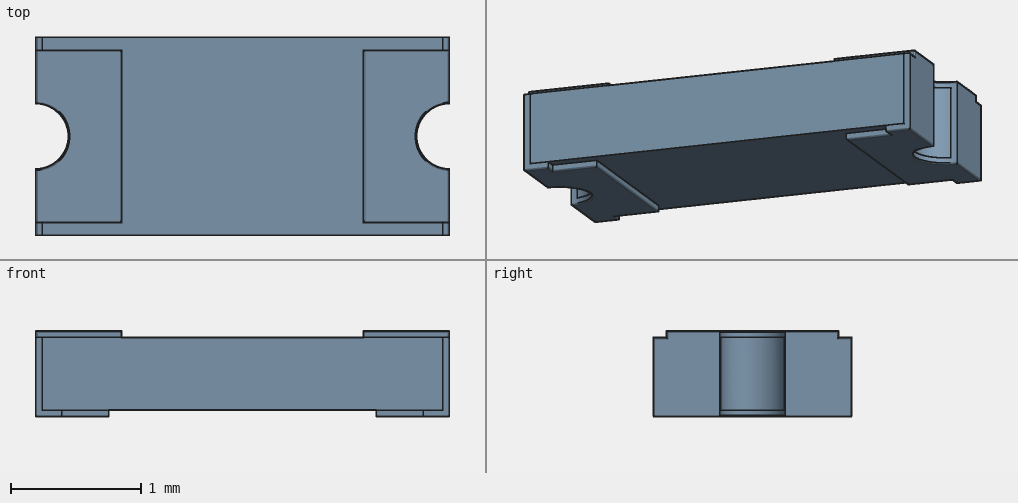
import cadquery as cq

length = 3.17
width = 1.52
height = 0.66

plating = 0.05
pad_inset = 0.098
top_pad_length = 0.66
bottom_pad_length = 0.56
bottom_flange_length = 0.2
edge_round = 0.01

groove_radius = 0.25

body_length = length - 2 * plating
body_height = height - 2 * plating
body_top = height - plating
pad_width = width - 2 * pad_inset
left_end = -length / 2
right_end = length / 2


def block(size_x, size_y, size_z, min_x, min_z):
    """Box centred on Y, starting at the given X and Z."""
    return (
        cq.Workplane("XY")
        .box(size_x, size_y, size_z, centered=(False, True, False))
        .translate((min_x, 0, min_z))
    )


def groove(center_x):
    """Vertical cylinder that cuts the half-round groove of one end."""
    return cq.Workplane("XY").center(center_x, 0).circle(groove_radius).extrude(height)


def make_body():
    """Plain block between the terminals, with a groove in each end."""
    body = block(body_length, width, body_height, -body_length / 2, plating)
    return body.cut(groove(left_end)).cut(groove(right_end))


def round_terminal_edges(terminal):
    """Round the rims of the top and bottom faces and the stepped upper outline of the end face."""
    rim_edges = terminal.faces("<Z or >Z").edges()
    upper_end = cq.selectors.BoxSelector(
        (left_end - plating, -width, body_top - plating / 2),
        (left_end + plating, width, height - plating / 4),
    )
    step_edges = terminal.faces("<X").edges(upper_end)
    return terminal.newObject(rim_edges.vals() + step_edges.vals()).fillet(edge_round)


def make_terminal(turn):
    """End wall with an inset pad on top and a stepped pad underneath, turned about Z from the left end."""
    end_wall = block(plating, width, body_top, left_end, 0)
    top_pad = block(top_pad_length, pad_width, plating, left_end, body_top)
    bottom_flange = block(bottom_flange_length, width, plating, left_end, 0)
    bottom_pad = block(bottom_pad_length, pad_width, plating, left_end, 0)
    terminal = end_wall.union(top_pad).union(bottom_flange).union(bottom_pad)
    terminal = round_terminal_edges(terminal.cut(groove(left_end)))
    return terminal.rotate((0, 0, 0), (0, 0, 1), turn)


body = make_body()
terminals = [make_terminal(turn) for turn in (0, 180)]

result = cq.Compound.makeCompound([body.val(), *[terminal.val() for terminal in terminals]])